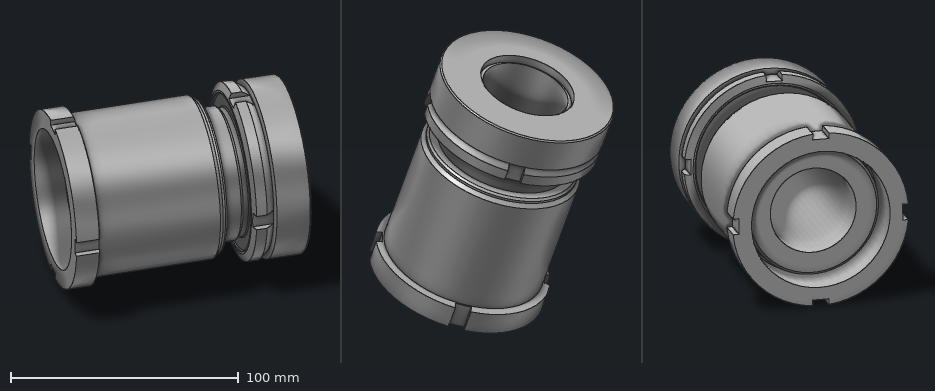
import cadquery as cq
import math

RIM_RADIUS = 40.0
BORE_RADIUS = 19.5
SCREW_RADIUS = 30.0

NOTCH_COUNT = 4
NOTCH_WIDTH = 7.2
NOTCH_DEPTH = 2.8
COLLAR_NOTCH_TURN = 1.1

SLEEVE_LENGTH = 70.0
SLEEVE_RADIUS = 36.5
FLANGE_LENGTH = 11.0
FLANGE_BEVEL_LENGTH = 0.6
FLANGE_BEVEL_WIDTH = 2.0
NOSE_RADIUS = 34.8
NOSE_CHAMFER = 1.0
NOSE_LENGTH = 2.0
COUNTERBORE_RADIUS = 31.5
COUNTERBORE_DEPTH = 21.4
SEAT_CHAMFER = 0.6

SCREW_START = 12.9
SCREW_CHAMFER = 1.2
THREAD_END = 78.7
NECK_RADIUS = 28.8
COLLAR_START = 80.4
COLLAR_BEVEL_LENGTH = 1.4
COLLAR_BEVEL_WIDTH = 3.6
COLLAR_LIP_WIDTH = 1.0
COLLAR_RECESS_DEPTH = 1.2
RECESS_CORNER = 0.5
COLLAR_EDGE = 86.6
BALL_RADIUS = 48.2

WASHER_FRONT = 90.3
WASHER_BACK = 106.8
WASHER_BORE_RADIUS = 21.4
WASHER_BEVEL_LENGTH = 0.7
WASHER_CHAMFER = 0.6
WASHER_TILT = -0.45

ball_center = COLLAR_EDGE - math.sqrt(BALL_RADIUS**2 - RIM_RADIUS**2)


def ball_y(radius):
    """Axial position of the ball surface at a given distance from the axis."""
    return ball_center + math.sqrt(BALL_RADIUS**2 - radius**2)


def ball_radius_at(y):
    """Distance of the ball surface from the axis at a given axial position."""
    return math.sqrt(BALL_RADIUS**2 - (y - ball_center)**2)


def revolve_about_y(profile):
    """Turn a closed half profile, drawn as (radius, y), into a solid of revolution."""
    return profile.close().revolve(360, (0, 0, 0), (0, 1, 0))


def notches(y_start, y_end):
    """Cutting blocks for the key notches spaced evenly around the rim."""
    floor_radius = RIM_RADIUS - NOTCH_DEPTH
    block_height = 2 * NOTCH_DEPTH
    block = cq.Workplane("XY").box(
        NOTCH_WIDTH, y_end - y_start, block_height, centered=(True, False, False)
    )
    block = block.translate((0, y_start, floor_radius))
    blocks = cq.Workplane("XY")
    for index in range(NOTCH_COUNT):
        angle = index * 360 / NOTCH_COUNT
        blocks = blocks.add(block.rotate((0, 0, 0), (0, 1, 0), angle))
    return blocks.combine()


def make_sleeve():
    """Flanged sleeve with a counterbore at the front and the screw's bore behind it."""
    nose_start = SLEEVE_LENGTH - NOSE_LENGTH
    profile = cq.Workplane("XY").polyline([
        (COUNTERBORE_RADIUS, 0),
        (RIM_RADIUS, 0),
        (RIM_RADIUS, FLANGE_LENGTH - FLANGE_BEVEL_LENGTH),
        (RIM_RADIUS - FLANGE_BEVEL_WIDTH, FLANGE_LENGTH),
        (SLEEVE_RADIUS, FLANGE_LENGTH),
        (SLEEVE_RADIUS, nose_start - (SLEEVE_RADIUS - NOSE_RADIUS)),
        (NOSE_RADIUS, nose_start),
        (NOSE_RADIUS, SLEEVE_LENGTH - NOSE_CHAMFER),
        (NOSE_RADIUS - NOSE_CHAMFER, SLEEVE_LENGTH),
        (SCREW_RADIUS, SLEEVE_LENGTH),
        (SCREW_RADIUS, COUNTERBORE_DEPTH + SEAT_CHAMFER),
        (SCREW_RADIUS + SEAT_CHAMFER, COUNTERBORE_DEPTH),
        (COUNTERBORE_RADIUS, COUNTERBORE_DEPTH),
    ])
    return revolve_about_y(profile).cut(notches(0, FLANGE_LENGTH))


def make_screw():
    """Hollow screw with a notched collar and a spherical top."""
    lip_radius = RIM_RADIUS - COLLAR_BEVEL_WIDTH
    recess_radius = lip_radius - COLLAR_LIP_WIDTH
    recess_floor = COLLAR_START + COLLAR_RECESS_DEPTH
    ball_mid_radius = (RIM_RADIUS + BORE_RADIUS) / 2
    profile = (
        cq.Workplane("XY")
        .moveTo(BORE_RADIUS, SCREW_START)
        .lineTo(SCREW_RADIUS - SCREW_CHAMFER, SCREW_START)
        .lineTo(SCREW_RADIUS, SCREW_START + SCREW_CHAMFER)
        .lineTo(SCREW_RADIUS, THREAD_END - SCREW_CHAMFER)
        .lineTo(NECK_RADIUS, THREAD_END)
        .lineTo(NECK_RADIUS, recess_floor - RECESS_CORNER)
        .lineTo(NECK_RADIUS + RECESS_CORNER, recess_floor)
        .lineTo(recess_radius - RECESS_CORNER, recess_floor)
        .lineTo(recess_radius, recess_floor - RECESS_CORNER)
        .lineTo(recess_radius, COLLAR_START)
        .lineTo(lip_radius, COLLAR_START)
        .lineTo(RIM_RADIUS, COLLAR_START + COLLAR_BEVEL_LENGTH)
        .lineTo(RIM_RADIUS, COLLAR_EDGE)
        .threePointArc((ball_mid_radius, ball_y(ball_mid_radius)), (BORE_RADIUS, ball_y(BORE_RADIUS)))
    )
    screw = revolve_about_y(profile).cut(notches(COLLAR_START, WASHER_FRONT))
    return screw.rotate((0, 0, 0), (0, 1, 0), COLLAR_NOTCH_TURN)


def make_washer():
    """Washer with a spherical seat that lets it tilt on the screw's ball."""
    seat_radius = ball_radius_at(WASHER_FRONT)
    seat_mid_radius = (seat_radius + WASHER_BORE_RADIUS) / 2
    profile = (
        cq.Workplane("XY")
        .moveTo(seat_radius, WASHER_FRONT)
        .lineTo(RIM_RADIUS, WASHER_FRONT + WASHER_BEVEL_LENGTH)
        .lineTo(RIM_RADIUS, WASHER_BACK - WASHER_CHAMFER)
        .lineTo(RIM_RADIUS - WASHER_CHAMFER, WASHER_BACK)
        .lineTo(WASHER_BORE_RADIUS, WASHER_BACK)
        .lineTo(WASHER_BORE_RADIUS, ball_y(WASHER_BORE_RADIUS))
        .threePointArc((seat_mid_radius, ball_y(seat_mid_radius)), (seat_radius, WASHER_FRONT))
    )
    washer = revolve_about_y(profile)
    return washer.rotate((0, ball_center, 0), (1, ball_center, 0), WASHER_TILT)


sleeve = make_sleeve()
screw = make_screw()
washer = make_washer()

result = cq.Compound.makeCompound([sleeve.val(), screw.val(), washer.val()])